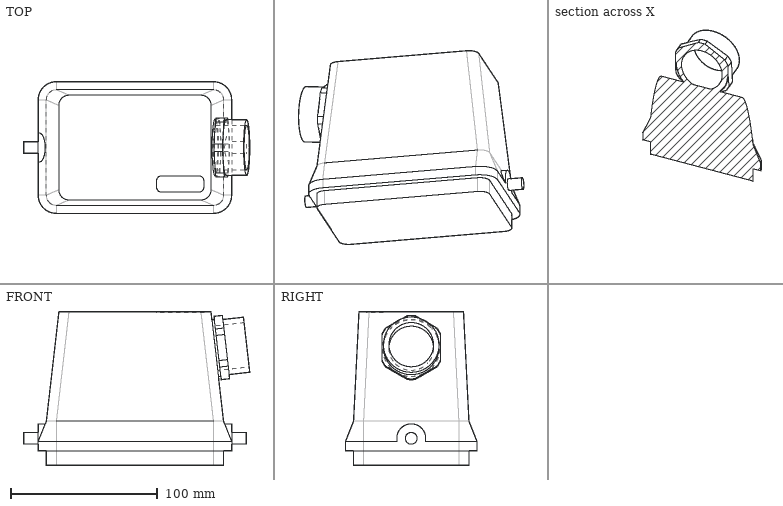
import cadquery as cq
import math

TOTAL_LENGTH = 154.3
TOTAL_HEIGHT = 105.0

FLANGE_LENGTH = 132.1
FLANGE_WIDTH = 90.0
FLANGE_OVERHANG = 5.5
SKIRT_LENGTH = FLANGE_LENGTH - 2 * FLANGE_OVERHANG
SKIRT_WIDTH = FLANGE_WIDTH - 2 * FLANGE_OVERHANG
CORNER_RADIUS = 7.0
FLANGE_RADIUS = CORNER_RADIUS + FLANGE_OVERHANG

FLANGE_BOTTOM = 10.0
FLANGE_TOP = 16.2
SHOULDER_HEIGHT = 30.3

TOP_LENGTH = 103.9
TOP_WIDTH = 71.5

PANEL_LENGTH = 32.3
PANEL_WIDTH = 11.1
PANEL_RADIUS = 3.4
PANEL_DEPTH = 0.5
PANEL_X = 30.9
PANEL_Y = -24.8

PIN_DIAMETER = 8.0
PIN_REACH = 76.0
PIN_HEIGHT = 18.5
PAD_RADIUS = 9.9

GLAND_HEIGHT = 80.0
COLLAR_DIAMETER = 39.0
COLLAR_LENGTH = 1.5
NUT_ACROSS_FLATS = 40.1
NUT_ROUNDED_DIAMETER = 43.7
NUT_THICKNESS = 5.9
BARREL_DIAMETER = 38.0
BORE_DIAMETER = 30.4

WALL_SLOPE = (SKIRT_LENGTH - TOP_LENGTH) / 2 / (TOTAL_HEIGHT - SHOULDER_HEIGHT)
WALL_TILT = math.atan(WALL_SLOPE)
GLAND_X = TOP_LENGTH / 2 + (TOTAL_HEIGHT - GLAND_HEIGHT) * WALL_SLOPE

RIM_X = TOTAL_LENGTH - PIN_REACH
GLAND_LENGTH = (RIM_X - GLAND_X - BARREL_DIAMETER / 2 * math.sin(WALL_TILT)) / math.cos(WALL_TILT)


def rounded_outline(length, width, radius, height):
    """Horizontal rounded rectangle centred on the Z axis."""
    sketch = cq.Sketch().rect(length, width).vertices().fillet(radius)
    return cq.Workplane("XY").workplane(offset=height).placeSketch(sketch)


def rounded_block(length, width, radius, bottom, top):
    return rounded_outline(length, width, radius, bottom).extrude(top - bottom)


def tapered_block(lower, upper, bottom, top):
    """Ruled block between two (length, width, radius) rounded rectangles."""
    wires = [
        rounded_block(*size, level, level + 1.5).faces("<Z").wires().val()
        for size, level in ((lower, bottom), (upper, top))
    ]
    return cq.Workplane(cq.Solid.makeLoft(wires, True))


def make_hood():
    skirt_size = (SKIRT_LENGTH, SKIRT_WIDTH, CORNER_RADIUS)
    flange_size = (FLANGE_LENGTH, FLANGE_WIDTH, FLANGE_RADIUS)
    top_size = (TOP_LENGTH, TOP_WIDTH, CORNER_RADIUS)
    skirt = rounded_block(*skirt_size, 0, FLANGE_BOTTOM)
    flange = rounded_block(*flange_size, FLANGE_BOTTOM, FLANGE_TOP)
    shoulder = tapered_block(flange_size, skirt_size, FLANGE_TOP, SHOULDER_HEIGHT)
    cover = tapered_block(skirt_size, top_size, SHOULDER_HEIGHT, TOTAL_HEIGHT)
    return skirt.union(flange).union(shoulder).union(cover)


def make_pins_and_pads():
    """Pin and pad shapes run through the hood, so both ends match."""
    pin = (
        cq.Workplane("YZ")
        .center(0, PIN_HEIGHT)
        .circle(PIN_DIAMETER / 2)
        .extrude(PIN_REACH, both=True)
    )
    pad = (
        cq.Workplane("YZ")
        .moveTo(-PAD_RADIUS, FLANGE_BOTTOM)
        .lineTo(-PAD_RADIUS, PIN_HEIGHT)
        .threePointArc((0, PIN_HEIGHT + PAD_RADIUS), (PAD_RADIUS, PIN_HEIGHT))
        .lineTo(PAD_RADIUS, FLANGE_BOTTOM)
        .close()
        .extrude(FLANGE_LENGTH / 2, both=True)
    )
    return pin.union(pad)


def gland_plane():
    """Plane on the end wall whose normal is the gland axis and whose X runs along +Y."""
    return cq.Plane(
        origin=(GLAND_X, 0, GLAND_HEIGHT),
        xDir=(0, 1, 0),
        normal=(math.cos(WALL_TILT), 0, math.sin(WALL_TILT)),
    )


def make_gland():
    wall = cq.Workplane(gland_plane())
    nut_seat = wall.workplane(offset=COLLAR_LENGTH)
    collar = wall.circle(COLLAR_DIAMETER / 2).extrude(COLLAR_LENGTH)
    barrel = wall.circle(BARREL_DIAMETER / 2).extrude(GLAND_LENGTH)
    hexagon = (
        nut_seat.polygon(6, NUT_ACROSS_FLATS, circumscribed=True)
        .extrude(NUT_THICKNESS)
    )
    nut = hexagon.intersect(nut_seat.circle(NUT_ROUNDED_DIAMETER / 2).extrude(NUT_THICKNESS))
    return collar.union(nut).union(barrel)


def make_bore():
    """Blind bore from the barrel rim down to the hood wall."""
    return cq.Workplane(gland_plane()).circle(BORE_DIAMETER / 2).extrude(GLAND_LENGTH)


def make_panel():
    outline = rounded_outline(PANEL_LENGTH, PANEL_WIDTH, PANEL_RADIUS, TOTAL_HEIGHT)
    return outline.extrude(-PANEL_DEPTH).translate((PANEL_X, PANEL_Y, 0))


result = (
    make_hood()
    .union(make_pins_and_pads())
    .union(make_gland())
    .cut(make_bore())
    .cut(make_panel())
)